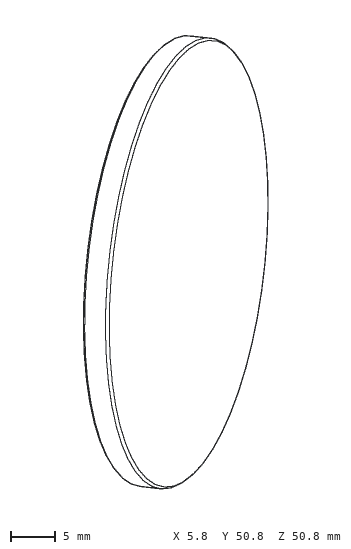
import cadquery as cq

diameter = 50.8
center_thickness = 5.8
dome_edge_x = 3.1
rim_end_x = 2.75
bevel = 0.25

radius = diameter / 2
face_radius = radius - bevel

sag = center_thickness - dome_edge_x
dome_radius = (face_radius**2 + sag**2) / (2 * sag)
dome_center_x = center_thickness - dome_radius

mid_height = face_radius / 2
mid_x = dome_center_x + (dome_radius**2 - mid_height**2) ** 0.5

half_section = (
    cq.Workplane("XZ")
    .moveTo(0, 0)
    .lineTo(0, face_radius)
    .lineTo(bevel, radius)
    .lineTo(rim_end_x, radius)
    .lineTo(dome_edge_x, face_radius)
    .threePointArc((mid_x, mid_height), (center_thickness, 0))
    .close()
)

result = half_section.revolve(360, (0, 0, 0), (1, 0, 0))